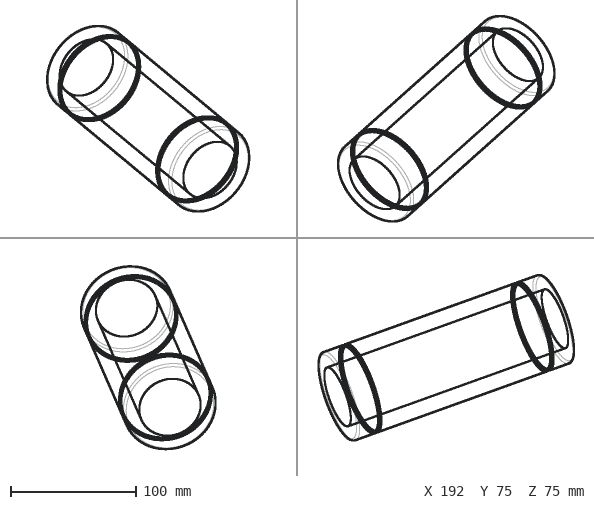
import cadquery as cq

length = 192.0
outer_diameter = 75.0
bore_diameter = 50.0

groove_outer_span = 154.4
groove_width = 2.3
groove_diameter = 72.0

rim_radius = 2.0


def cylinder(diameter, start, width):
    """Solid cylinder along X, beginning at the given X position."""
    return cq.Workplane("YZ", origin=(start, 0, 0)).circle(diameter / 2).extrude(width)


def groove_ring(start):
    """Ring of material removed to form one retaining ring groove."""
    blank = cylinder(outer_diameter + 2 * groove_width, start, groove_width)
    return blank.cut(cylinder(groove_diameter, start, groove_width))


sleeve = cylinder(outer_diameter, -length / 2, length).edges().fillet(rim_radius)

sleeve = sleeve.cut(cylinder(bore_diameter, -length / 2, length))

left_groove_start = -groove_outer_span / 2
right_groove_start = groove_outer_span / 2 - groove_width
for groove_start in (left_groove_start, right_groove_start):
    sleeve = sleeve.cut(groove_ring(groove_start))

result = sleeve